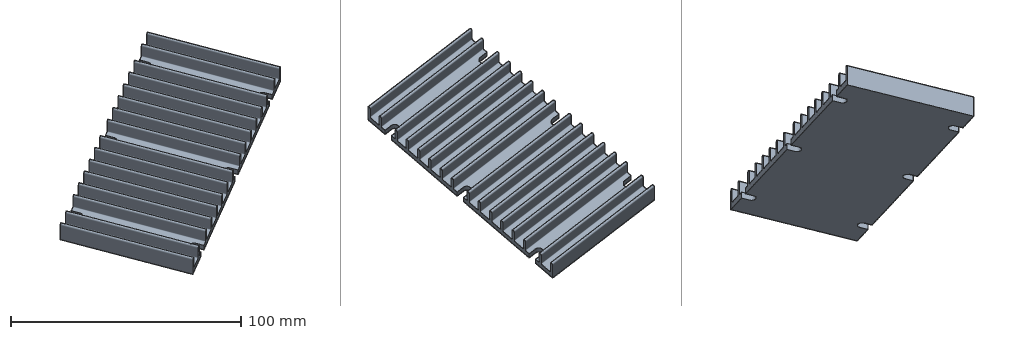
import cadquery as cq

width = 61.0
length = 116.8
height = 10.2

base_thickness = 3.0
fin_thickness = 1.5
fin_pitch = 7.1
root_radius = 0.4
fins_per_group = 6
fin_tip_radius = fin_thickness / 2

slot_pitch = 45.6
slot_width = 4.0
slot_depth = 5.8

edge_fin_y = length / 2 - fin_tip_radius
pair_inner_y = edge_fin_y - fin_pitch
group_outer_y = 2 * slot_pitch - pair_inner_y
group_fin_y = [group_outer_y - i * fin_pitch for i in range(fins_per_group)]
half_fin_y = [edge_fin_y, pair_inner_y] + group_fin_y
fin_centres = sorted(half_fin_y + [-y for y in half_fin_y])


def make_profile():
    """Closed YZ section: flat base, round-tipped fins and filleted channels."""
    tip_z = height - fin_tip_radius
    root_z = base_thickness + root_radius
    profile = cq.Workplane("YZ", origin=(-width / 2, 0, 0)).moveTo(-length / 2, 0)
    for y in fin_centres:
        near_side = y - fin_thickness / 2
        far_side = y + fin_thickness / 2
        if y != fin_centres[0]:
            profile = profile.lineTo(near_side - root_radius, base_thickness)
            profile = profile.radiusArc((near_side, root_z), -root_radius)
        profile = profile.lineTo(near_side, tip_z)
        profile = profile.threePointArc((y, height), (far_side, tip_z))
        if y != fin_centres[-1]:
            profile = profile.lineTo(far_side, root_z)
            profile = profile.radiusArc((far_side + root_radius, base_thickness), -root_radius)
    return profile.lineTo(length / 2, 0).close()


def make_slots():
    """Round-ended cutters reaching in from the -X and +X edges."""
    slot_centres = [
        (side * width / 2, row * slot_pitch)
        for side in (-1, 1)
        for row in (-1, 0, 1)
    ]
    return (
        cq.Workplane("XY")
        .pushPoints(slot_centres)
        .slot2D(2 * slot_depth, slot_width)
        .extrude(height)
    )


result = make_profile().extrude(width).cut(make_slots())